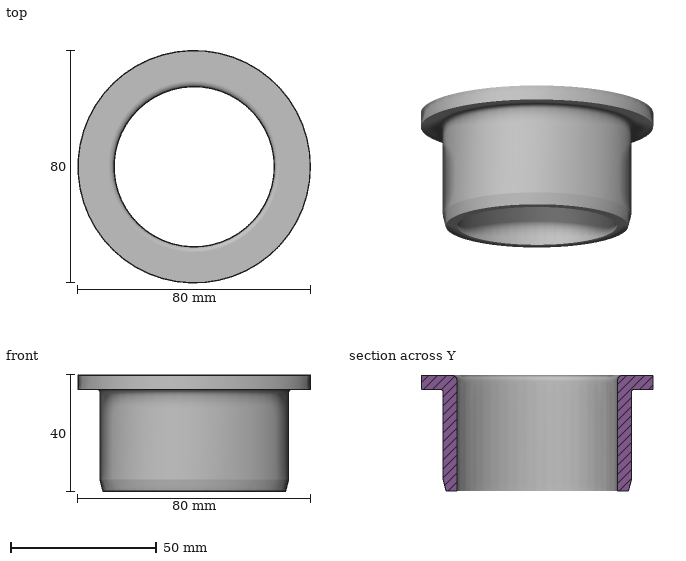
import cadquery as cq

flange_diameter = 80.0
total_height = 40.0
flange_thickness = 5.0
body_diameter = 65.0
bore_diameter = 55.0

bore_rounding = 2.0
neck_fillet = 1.0
lead_in_height = 4.0
lead_in_depth = 1.0

flange_radius = flange_diameter / 2
body_radius = body_diameter / 2
bore_radius = bore_diameter / 2
flange_underside = total_height - flange_thickness


def bush_blank():
    """Revolve the half section, with its bottom face on Z = 0."""
    half_section = (
        cq.Workplane("XZ")
        .moveTo(bore_radius, 0)
        .lineTo(body_radius - lead_in_depth, 0)
        .lineTo(body_radius, lead_in_height)
        .lineTo(body_radius, flange_underside - neck_fillet)
        .radiusArc((body_radius + neck_fillet, flange_underside), neck_fillet)
        .lineTo(flange_radius, flange_underside)
        .lineTo(flange_radius, total_height)
        .lineTo(bore_radius, total_height)
        .close()
    )
    return half_section.revolve(360, (0, 0, 0), (0, 1, 0))


def round_bore_mouth(bush):
    """Round the top edge of the bore."""
    return bush.faces(">Z").edges(cq.selectors.RadiusNthSelector(0)).fillet(bore_rounding)


result = round_bore_mouth(bush_blank())